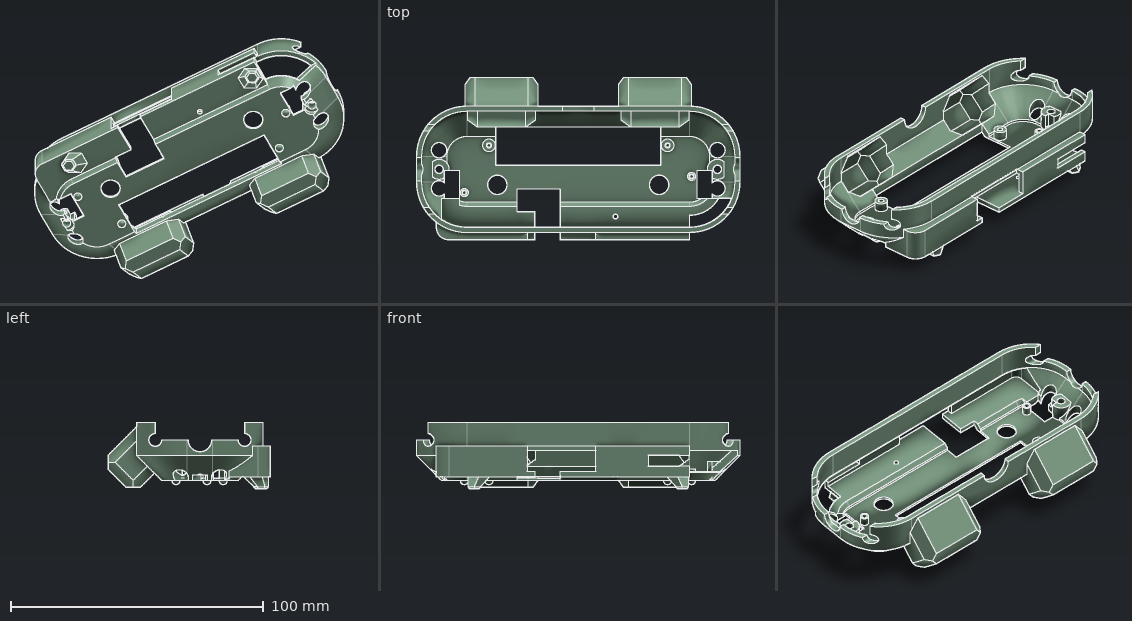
import cadquery as cq
import math


LENGTH = 128.0
WIDTH = 50.0
HEIGHT = 23.0
CORNER_R = 20.0
WALL = 2.0
BEVEL = 10.0
FLOOR = 1.0
CORNER_X = LENGTH / 2 - CORNER_R
CORNER_Y = WIDTH / 2 - CORNER_R

NOTCH_Z = 16.1
END_CUT_Y = 17.7
SIDE_NOTCH_D = 5.0
END_NOTCH_D = 9.2
BACK_NOTCH_D = 12.4

WINDOW_X = 65.2
WINDOW_Y0 = 1.7
WINDOW_Y1 = 16.6
SPEAKER_D = 7.5
SPEAKER_X = 32.0
SPEAKER_Y = -6.1
SLOT_X0 = 47.0
SLOT_X1 = 53.0
SLOT_Y0 = -11.5
SLOT_Y1 = -0.5

POST_X = 55.0
POST_D = 8.0
POST_TOP = 7.7
POST_HOLE_D = 3.2
HEAD_RECESS_D = 6.0
HEAD_RECESS_DEPTH = 2.2
CABLE_HOLE_D = 6.0
CABLE_HOLE_Y = 7.5

BOX_X = 30.3
BOX_WIDTH = 28.9
BOX_HEIGHT = 18.0
BOX_BEVEL = 4.0
BOX_WALL = 1.0
BOX_END = 22.5
BOX_MIDDLE = 23.8
BOX_START = -1.3
CAVITY_START = -6.4

TRAY_X0 = -56.2
TRAY_X1 = CORNER_X
TRAY_Y0 = -27.9
TRAY_Y1 = SLOT_Y0
TRAY_Z0 = 1.5
TRAY_Z1 = 13.8
TRAY_FLOOR_Z = 3.7
TRAY_ROOF_Z = 11.9
TRAY_CORNER_R = 5.0
ROOM_END_WALL = 1.0
TRIM_R = 13.2
FRONT_WINDOW_X0 = -20.1
FRONT_WINDOW_X1 = 6.9
FRONT_WINDOW_DEPTH = 3.3
FLOOR_HOLE_X0 = -24.2
FLOOR_HOLE_X1 = -17.2
FLOOR_HOLE_X2 = -7.2
FLOOR_HOLE_Y1 = -7.8
FLOOR_HOLE_Y0 = -16.8
END_SLOT_X0 = 27.8
END_SLOT_Z0 = 5.8
END_SLOT_Z1 = 10.0
RESET_HOLE_D = 1.8
RESET_HOLE_X = 14.7
RESET_HOLE_Y = -18.7

FOOT_X = 43.6
FOOT_Y = -27.1
FOOT_TOP_SIZE = 9.9
FOOT_LOW_SIZE = 5.9
FOOT_LOW_Z = -2.3
FOOT_TIP = 0.9
FOOT_TIP_BEVEL = 0.6

BOSS_TOP = 4.6
BORE_D = 2.0
BIG_BOSS_D = 5.0
SMALL_BOSS_D = 3.2
BOSSES = [
    (-35.3, 9.5, BIG_BOSS_D),
    (35.3, 9.5, BIG_BOSS_D),
    (-45.0, -9.2, SMALL_BOSS_D),
    (44.8, -2.8, SMALL_BOSS_D),
]
PIN_D = 1.5
PIN_HEAD_D = 3.2


def block(x0, x1, y0, y1, z0, z1):
    """Plain box between two corners."""
    return cq.Workplane("XY").box(x1 - x0, y1 - y0, z1 - z0, centered=False).translate((x0, y0, z0))


def rod(x, y, diameter, z0, z1):
    """Upright cylinder."""
    return cq.Workplane("XY", origin=(x, y, z0)).circle(diameter / 2).extrude(z1 - z0)


def rounded_block(inset, z0, z1):
    """Upright block with the housing outline, moved inwards by an inset."""
    outline = cq.Workplane("XY", origin=(0, 0, z0)).rect(LENGTH - 2 * inset, WIDTH - 2 * inset)
    return outline.extrude(z1 - z0).edges("|Z").fillet(CORNER_R - inset)


def tub_outside():
    return rounded_block(0, 0, HEIGHT).faces("<Z").edges().chamfer(BEVEL)


def tub_inside():
    """Room inside the tub: a bevelled block, with a shallow recess in its floor."""
    room = rounded_block(WALL, WALL, HEIGHT + WALL).faces("<Z").edges().chamfer(BEVEL)
    return room.union(rounded_block(WALL + BEVEL, FLOOR, 2 * WALL))


def bevelled_box(inset, start):
    """Leaning box with every edge bevelled: its sides and far end move inwards by an inset."""
    length = BOX_END - inset - start
    sizes = (BOX_WIDTH - 2 * inset, length, BOX_HEIGHT - 2 * inset)
    body = None
    for direction in ("|X", "|Y", "|Z"):
        prism = cq.Workplane("XY").box(*sizes).edges(direction).chamfer(BOX_BEVEL)
        body = prism if body is None else body.intersect(prism)
    body = body.translate((0, start + length / 2, BOX_MIDDLE))
    return body.rotate((0, 0, 0), (1, 0, 0), -45)


def on_both_sides(shape, x):
    """Two copies of a shape, at -x and +x."""
    return shape.translate((-x, 0, 0)).union(shape.translate((x, 0, 0)))


def tray_outside():
    tray = block(TRAY_X0, TRAY_X1, TRAY_Y0, TRAY_Y1, TRAY_Z0, TRAY_Z1)
    return tray.edges("|Z and <X and <Y").fillet(TRAY_CORNER_R)


def tray_room():
    """Room in the tray, which runs out through its right end and cuts the tub beside it."""
    x1 = LENGTH / 2 - ROOM_END_WALL
    room = block(TRAY_X0 + WALL, x1, TRAY_Y0 + WALL, TRAY_Y1, TRAY_FLOOR_Z, TRAY_ROOF_Z)
    return room.edges("|Z and <X and <Y").fillet(TRAY_CORNER_R - WALL)


def beside_tray():
    """Space right of the tray, outside the trimmed bevel and inside the tub wall."""
    space = rounded_block(WALL, 0, TRAY_ROOF_Z)
    space = space.intersect(block(TRAY_X1, LENGTH / 2, -WIDTH / 2, TRAY_Y1, 0, TRAY_ROOF_Z))
    return space.cut(rod(CORNER_X, -CORNER_Y, 2 * TRIM_R, 0, TRAY_ROOF_Z))


def foot():
    """Tapered hexagon whose outer side and front corner stay upright."""
    flat = math.sqrt(3) / 2

    def hexagon(size, z):
        centre = (-FOOT_X + size * flat / 2, FOOT_Y + size / 2, z)
        return cq.Workplane("XY", origin=centre).transformed(rotate=(0, 0, 90)).polygon(6, size)

    top = hexagon(FOOT_TOP_SIZE, TRAY_Z0)
    low_shift = (FOOT_LOW_SIZE - FOOT_TOP_SIZE) / 2
    body = (
        top.workplane(offset=FOOT_LOW_Z - TRAY_Z0)
        .center(low_shift, -low_shift * flat)
        .polygon(6, FOOT_LOW_SIZE)
        .loft(ruled=True)
    )
    tip = hexagon(FOOT_LOW_SIZE, FOOT_LOW_Z).extrude(-FOOT_TIP).faces("<Z").chamfer(FOOT_TIP_BEVEL)
    return body.union(tip)


def rim_cuts():
    """Lowered rim at both ends, with round notches for cables, and a round notch in the back."""
    beyond = LENGTH / 2 + WALL
    cuts = block(CORNER_X, beyond, -END_CUT_Y, END_CUT_Y, NOTCH_Z, HEIGHT)
    for y, diameter in ((-END_CUT_Y, SIDE_NOTCH_D), (0, END_NOTCH_D), (END_CUT_Y, SIDE_NOTCH_D)):
        notch = cq.Workplane("YZ", origin=(CORNER_X, y, NOTCH_Z)).circle(diameter / 2)
        cuts = cuts.union(notch.extrude(beyond - CORNER_X))
    cuts = cuts.union(cuts.mirror("YZ"))
    back = cq.Workplane("XZ", origin=(0, WIDTH / 2, HEIGHT)).circle(BACK_NOTCH_D / 2)
    return cuts.union(back.extrude(WALL))


def floor_openings():
    """Window, round holes, and the holes and slot at each end."""
    cuts = block(-WINDOW_X / 2, WINDOW_X / 2, WINDOW_Y0, WINDOW_Y1, 0, HEIGHT / 2)
    for side in (-1, 1):
        cuts = cuts.union(rod(side * SPEAKER_X, SPEAKER_Y, SPEAKER_D, 0, HEIGHT / 2))
        for y in (-CABLE_HOLE_Y, CABLE_HOLE_Y):
            cuts = cuts.union(rod(side * POST_X, y, CABLE_HOLE_D, 0, TRAY_ROOF_Z))
        cuts = cuts.union(rod(side * POST_X, 0, POST_HOLE_D, 0, HEIGHT))
        cuts = cuts.union(rod(side * POST_X, 0, HEAD_RECESS_D, 0, HEAD_RECESS_DEPTH))
        slot_ends = sorted((side * SLOT_X0, side * SLOT_X1))
        cuts = cuts.union(block(*slot_ends, SLOT_Y0, SLOT_Y1, 0, TRAY_ROOF_Z))
    return cuts


def tray_openings():
    """Front window, L-shaped floor hole, end slot and reset hole."""
    window_back = TRAY_Y0 + FRONT_WINDOW_DEPTH
    cuts = block(FRONT_WINDOW_X0, FRONT_WINDOW_X1, TRAY_Y0, window_back, TRAY_FLOOR_Z, TRAY_Z1)
    wide_hole = block(FLOOR_HOLE_X0, FLOOR_HOLE_X2, FLOOR_HOLE_Y0, FLOOR_HOLE_Y1, 0, TRAY_ROOF_Z)
    narrow_hole = block(FLOOR_HOLE_X1, FLOOR_HOLE_X2, TRAY_Y0, FLOOR_HOLE_Y0, 0, TRAY_ROOF_Z)
    end_slot = block(END_SLOT_X0, TRAY_X1, TRAY_Y0, TRAY_Y0 + WALL, END_SLOT_Z0, END_SLOT_Z1)
    cuts = cuts.union(wide_hole).union(narrow_hole).union(end_slot)
    return cuts.union(rod(RESET_HOLE_X, RESET_HOLE_Y, RESET_HOLE_D, 0, TRAY_ROOF_Z))


def make_housing():
    inside = tub_inside()
    left_ledge = block(TRAY_X0, -SLOT_X0, TRAY_Y0, TRAY_Y1, 0, TRAY_FLOOR_Z)

    body = tub_outside()
    body = body.union(on_both_sides(bevelled_box(0, BOX_START), BOX_X))
    body = body.union(tray_outside())
    body = body.cut(inside.cut(left_ledge))
    body = body.cut(on_both_sides(bevelled_box(BOX_WALL, CAVITY_START), BOX_X))
    body = body.cut(tray_room()).cut(beside_tray())

    for x in (-POST_X, POST_X):
        post = rod(x, 0, POST_D, 0, POST_TOP)
        body = body.union(post.intersect(tub_outside()))
    for x, y, diameter in BOSSES:
        body = body.union(rod(x, y, diameter, 0, BOSS_TOP))
    body = body.cut(rim_cuts()).cut(floor_openings()).cut(tray_openings())
    for x, y, _ in BOSSES:
        body = body.cut(rod(x, y, BORE_D, FLOOR, BOSS_TOP)).cut(rod(x, y, PIN_D, 0, FLOOR))

    left_foot = foot()
    return body.union(left_foot).union(left_foot.mirror("YZ"))


def make_pin(x, y):
    """Pin with a domed head under the floor and a shank that ends flush with the floor."""
    head = cq.Workplane("XY").sphere(PIN_HEAD_D / 2).intersect(
        block(-PIN_HEAD_D, PIN_HEAD_D, -PIN_HEAD_D, PIN_HEAD_D, -PIN_HEAD_D, 0)
    )
    return head.union(rod(0, 0, PIN_D, 0, FLOOR)).translate((x, y, 0))


housing = make_housing()
pins = [make_pin(x, y) for x, y, _ in BOSSES]

result = cq.Compound.makeCompound([housing.val(), *[pin.val() for pin in pins]])